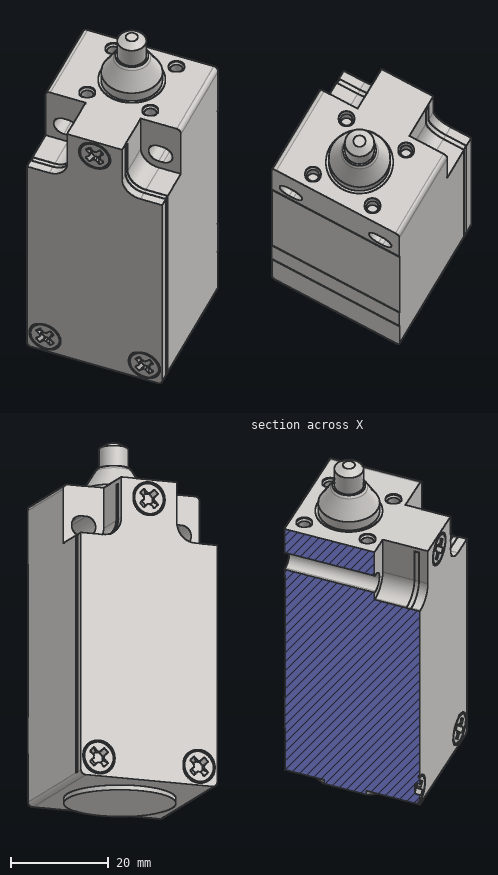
import cadquery as cq

WIDTH = 30.0
DEPTH = 30.0
HEIGHT = 63.5
CORNER_RADIUS = 1.0
FRONT_Y = -DEPTH / 2

PAD_HEIGHT = 0.1
LOWER_PAD_BOTTOM_Z = 11.1
LOWER_PAD_TOP_Z = 19.0
BACK_Y = DEPTH / 2 - PAD_HEIGHT

NOTCH_INNER_X = 6.1
NOTCH_BACK_Y = -5.0
NOTCH_HEIGHT = 12.5
NOTCH_RADIUS = 4.0
NOTCH_BOTTOM_Z = HEIGHT - NOTCH_HEIGHT
SLOT_X = 10.5
SLOT_Z = HEIGHT - 8.5
SLOT_LENGTH = 5.3
SLOT_WIDTH = 4.3

COVER_THICKNESS = 2.0
GASKET_THICKNESS = 1.0
GASKET_INSET = 0.1
GASKET_END_MARGIN = 1.0

SCREW_X = 11.0
SCREW_EDGE_DISTANCE = 4.0
SCREW_CENTRES = (
    (-SCREW_X, SCREW_EDGE_DISTANCE),
    (SCREW_X, SCREW_EDGE_DISTANCE),
    (0, HEIGHT - SCREW_EDGE_DISTANCE),
)
SCREW_HEAD_DIAMETER = 6.4
SCREW_SEAT_DIAMETER = 7.0
SCREW_GAP_DEPTH = 0.3
RECESS_DEPTH = 1.1
RECESS_CORE_RADIUS = 1.15
RECESS_ARM_REACH = 2.2
RECESS_ARM_WIDTH = 1.2

PLUNGER_Y = 5.0
TOP_HOLE_OFFSET = 7.0
TOP_HOLE_DIAMETER = 2.5
TOP_HOLE_MOUTH_DIAMETER = 3.3
TOP_HOLE_MOUTH_DEPTH = 0.3
TOP_HOLE_CHAMFER = (TOP_HOLE_MOUTH_DIAMETER - TOP_HOLE_DIAMETER) / 2
TOP_HOLE_DEPTH = 3.0

COLLAR_RADIUS = 6.3
COLLAR_HEIGHT = 2.1
CONE_TOP_RADIUS = 3.8
CONE_TOP_HEIGHT = 6.2
CONE_LIP_RADIUS = 3.4
CONE_LIP_HEIGHT = 6.7
PIN_RADIUS = 3.0
PIN_SHOULDER_HEIGHT = 11.0
PIN_TIP_RADIUS = 1.25
PLUNGER_HEIGHT = 12.0
SEAT_RADIUS = 6.9
SEAT_DEPTH = 0.1

DISC_RADIUS = 11.5
DISC_Y = 1.5
DISC_HEIGHT = 1.0


def box(x_min, x_max, y_min, y_max, z_min, z_max):
    size = (x_max - x_min, y_max - y_min, z_max - z_min)
    return cq.Workplane("XY").box(*size, centered=False).translate((x_min, y_min, z_min))


def front_plane(y):
    """XZ sketch plane at the given Y; extrusions go toward -Y."""
    return cq.Workplane("XZ", origin=(0, y, 0))


def make_housing():
    housing = box(-WIDTH / 2, WIDTH / 2, FRONT_Y, BACK_Y, 0, HEIGHT)
    for z_min, z_max in ((LOWER_PAD_BOTTOM_Z, LOWER_PAD_TOP_Z), (NOTCH_BOTTOM_Z, HEIGHT)):
        housing = housing.union(box(-WIDTH / 2, WIDTH / 2, BACK_Y, DEPTH / 2, z_min, z_max))
    corners = "(<X or >X) and (<Z or >Z)"
    return housing.edges("|Y").edges(corners).fillet(CORNER_RADIUS)


def make_notch(side, inset, y_min, y_max, top_z):
    """Rounded-corner notch; an inset enlarges it into the housing."""
    inner_x = NOTCH_INNER_X - inset
    bottom_z = NOTCH_BOTTOM_Z - inset
    notch = box(inner_x, WIDTH / 2, y_min, y_max, bottom_z, top_z)
    notch = notch.edges("|Y and <X and <Z").fillet(NOTCH_RADIUS + inset)
    return notch if side > 0 else notch.mirror("YZ")


def cut_notches(body):
    for side in (-1, 1):
        body = body.cut(make_notch(side, 0, FRONT_Y, NOTCH_BACK_Y, HEIGHT))
    slots = (
        front_plane(DEPTH / 2)
        .pushPoints([(-SLOT_X, SLOT_Z), (SLOT_X, SLOT_Z)])
        .slot2D(SLOT_LENGTH, SLOT_WIDTH)
        .extrude(DEPTH)
    )
    return body.cut(slots)


def cut_gasket_groove(body):
    """Shallow groove along the sides and notches where the gasket is set back."""
    y_min = FRONT_Y + COVER_THICKNESS
    y_max = y_min + GASKET_THICKNESS
    z_min = GASKET_END_MARGIN
    z_max = HEIGHT - GASKET_END_MARGIN
    for side in (-1, 1):
        outer = side * WIDTH / 2
        inner = outer - side * GASKET_INSET
        body = body.cut(box(min(outer, inner), max(outer, inner), y_min, y_max, z_min, z_max))
        body = body.cut(make_notch(side, GASKET_INSET, y_min, y_max, z_max))
    return body


def make_screw_recess():
    """Diagonal cross recess at the origin of the front face, arms sloping to a flat core."""
    recess = front_plane(FRONT_Y + RECESS_DEPTH).circle(RECESS_CORE_RADIUS).extrude(RECESS_DEPTH)
    arm = (
        cq.Workplane("XY")
        .moveTo(0, FRONT_Y)
        .lineTo(RECESS_ARM_REACH, FRONT_Y)
        .lineTo(RECESS_CORE_RADIUS, FRONT_Y + RECESS_DEPTH)
        .lineTo(0, FRONT_Y + RECESS_DEPTH)
        .close()
        .extrude(RECESS_ARM_WIDTH / 2, both=True)
    )
    for angle in (45, 135, 225, 315):
        recess = recess.union(arm.rotate((0, 0, 0), (0, 1, 0), angle))
    return recess


def cut_screws(body):
    gaps = (
        front_plane(FRONT_Y + SCREW_GAP_DEPTH)
        .pushPoints(SCREW_CENTRES)
        .circle(SCREW_SEAT_DIAMETER / 2)
        .circle(SCREW_HEAD_DIAMETER / 2)
        .extrude(SCREW_GAP_DEPTH)
    )
    body = body.cut(gaps)
    recess = make_screw_recess()
    for x, z in SCREW_CENTRES:
        body = body.cut(recess.translate((x, 0, z)))
    return body


def make_top_hole():
    """Blind hole at the origin: short straight mouth, 45 degree shoulder, then the bore."""
    mouth_radius = TOP_HOLE_MOUTH_DIAMETER / 2
    bore_radius = TOP_HOLE_DIAMETER / 2
    shoulder_bottom = -TOP_HOLE_MOUTH_DEPTH - TOP_HOLE_CHAMFER
    profile = (
        cq.Workplane("XZ")
        .lineTo(mouth_radius, 0)
        .lineTo(mouth_radius, -TOP_HOLE_MOUTH_DEPTH)
        .lineTo(bore_radius, shoulder_bottom)
        .lineTo(bore_radius, -TOP_HOLE_DEPTH)
        .lineTo(0, -TOP_HOLE_DEPTH)
        .close()
    )
    return profile.revolve(360, (0, 0, 0), (0, 1, 0))


def cut_top_features(body):
    hole = make_top_hole()
    for x in (-TOP_HOLE_OFFSET, TOP_HOLE_OFFSET):
        for y in (PLUNGER_Y - TOP_HOLE_OFFSET, PLUNGER_Y + TOP_HOLE_OFFSET):
            body = body.cut(hole.translate((x, y, HEIGHT)))
    seat = cq.Workplane("XY", origin=(0, PLUNGER_Y, HEIGHT)).circle(SEAT_RADIUS).extrude(-SEAT_DEPTH)
    return body.cut(seat)


def make_plunger():
    profile = (
        cq.Workplane("XZ")
        .moveTo(0, -SEAT_DEPTH)
        .lineTo(COLLAR_RADIUS, -SEAT_DEPTH)
        .lineTo(COLLAR_RADIUS, COLLAR_HEIGHT)
        .lineTo(CONE_TOP_RADIUS, CONE_TOP_HEIGHT)
        .lineTo(CONE_LIP_RADIUS, CONE_LIP_HEIGHT)
        .lineTo(PIN_RADIUS, CONE_LIP_HEIGHT)
        .lineTo(PIN_RADIUS, PIN_SHOULDER_HEIGHT)
        .lineTo(PIN_TIP_RADIUS, PLUNGER_HEIGHT)
        .lineTo(0, PLUNGER_HEIGHT)
        .close()
    )
    plunger = profile.revolve(360, (0, 0, 0), (0, 1, 0))
    return plunger.translate((0, PLUNGER_Y, HEIGHT))


def make_disc():
    return cq.Workplane("XY", origin=(0, DISC_Y, 0)).circle(DISC_RADIUS).extrude(-DISC_HEIGHT)


body = make_housing()
body = cut_notches(body)
body = cut_gasket_groove(body)
body = cut_screws(body)
body = cut_top_features(body)
result = body.union(make_plunger()).union(make_disc())